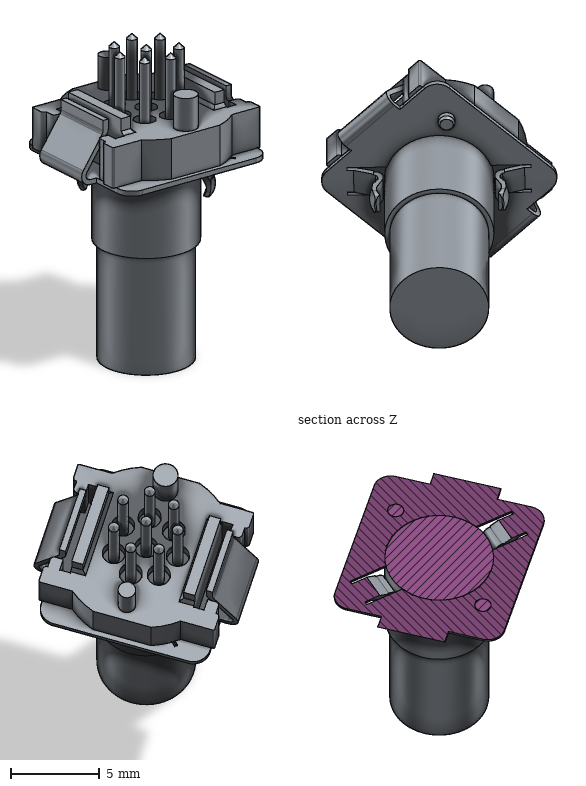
import cadquery as cq
import math

barrel_step_z = 7.25
plate_bottom_z = 12.5
sheet_thickness = 0.3
plate_top_z = plate_bottom_z + sheet_thickness
head_top_z = 15.28
ridge_top_z = 16.25
post_top_z = 17.29
pin_top_z = 19.1

barrel_radius = 3.1
barrel_end_radius = 2.8

head_circle_radius = 5.0
head_half_width = 4.7
ear_outer_x = 3.84
ear_inner_x = 2.79
ear_half_length = 5.21
head_half_length = 4.99
ear_edge_radius = 0.1
ear_inner_radius = 0.21
mouth_edge_radius = 0.23

pocket_half_width = 2.79
pocket_inner_y = 3.65
pocket_outer_y = 4.28
mouth_half_width = 2.1

ridge_half_width = 2.5
ridge_inner_y = 2.98
ridge_skirt = 0.21

pin_radius = 0.3
pin_ring_radius = 1.87
pin_ring_pairs = 3
pin_ring_step = 50.5
well_radius = 0.65
well_depth = 0.7
post_x = 3.75
small_post_radius = 0.5
large_post_radius = 0.7

stud_x = 3.32
stud_y = 2.62
stud_radius = 0.48
stud_bottom_z = 11.98
stud_chamfer_height = 0.2
stud_chamfer_width = 0.1

plate_half_side = 5.0
plate_corner_radius = 1.0

clip_half_width = 1.99
clip_reach = 6.05
clip_bend_radius = 2 * sheet_thickness
clip_lean = math.radians(35)
clip_lip_outer_y = 4.55
clip_top_z = 16.2
clip_kink_radius = 0.38

finger_direction = 45
finger_half_width = 0.7
finger_root_half_width = 0.76
finger_window_half_width = 0.95
finger_root = 5.21
finger_bend_outer = 4.85
finger_bend_inner = 4.8
finger_root_step = 3.72
slope_end_outer = (3.61, 12.05)
slope_end_inner = (3.67, 12.4)
knee_shoulder = (3.29, 12.22)
knee_inner = 3.17
knee_outer = knee_inner + sheet_thickness
knee_z = 11.85
knee_end_shift = 0.02
knee_end_z = 11.65
leg_end_inner = (3.48, 11.04)
leg_end_outer = 3.76
tip_outer = 3.8
tip_inner = 3.55
tip_end_outer = 3.57
tip_end_inner = (3.36, 10.3)
tip_bottom_z = 10.1
tip_corner_radius = 0.48

dome_top_z = 11.23
dome_middle_z = 10.75
dome_crown = 3.95
dome_side_radius = 1.53
dome_top_inset = 0.11
dome_bottom_inset = 0.29

edge_margin = 0.02


def cylinder(x, y, bottom_z, top_z, radius):
    return cq.Workplane("XY", origin=(x, y, bottom_z)).circle(radius).extrude(top_z - bottom_z)


def half_turn_pair(shape):
    """The shape and its copy turned half way around Z."""
    return [shape.rotate((0, 0, 0), (0, 0, 1), angle) for angle in (0, 180)]


def block(x_half_width, y_start, y_end, bottom_z, top_z):
    """A block centred on X, given by its Y and Z limits."""
    return cq.Workplane("XY").box(
        2 * x_half_width, y_end - y_start, top_z - bottom_z, centered=(True, False, False)
    ).translate((0, y_start, bottom_z))


def make_head():
    shoulder_y = math.sqrt(head_circle_radius**2 - ear_outer_x**2)
    head = cylinder(0, 0, plate_top_z, head_top_z, head_circle_radius)
    head = head.intersect(
        block(head_half_width, -shoulder_y, shoulder_y, plate_top_z, head_top_z)
    )
    head = head.union(
        block(ear_outer_x, -head_half_length, head_half_length, plate_top_z, head_top_z)
    )
    ear_width = ear_outer_x - ear_inner_x
    ears = (
        cq.Workplane("XY", origin=(0, 0, plate_top_z))
        .pushPoints([(side * (ear_outer_x + ear_inner_x) / 2, 0) for side in (-1, 1)])
        .rect(ear_width, 2 * ear_half_length)
        .extrude(head_top_z - plate_top_z)
    )
    head = head.union(ears)
    for opening in half_turn_pair(make_spring_opening()):
        head = head.cut(opening)
    head = head.edges(vertical_edges(ear_outer_x, ear_half_length)).fillet(ear_edge_radius)
    head = head.edges(vertical_edges(ear_inner_x, ear_half_length)).fillet(ear_inner_radius)
    return head.edges(vertical_edges(mouth_half_width, head_half_length)).fillet(mouth_edge_radius)


def vertical_edges(x, y):
    """Selector for the four vertical head edges at (+-x, +-y)."""
    boxes = [
        cq.selectors.BoxSelector(
            (sx * x - edge_margin, sy * y - edge_margin, plate_top_z),
            (sx * x + edge_margin, sy * y + edge_margin, head_top_z),
        )
        for sx in (-1, 1)
        for sy in (-1, 1)
    ]
    return boxes[0] + boxes[1] + boxes[2] + boxes[3]


def make_spring_opening():
    pocket = block(pocket_half_width, pocket_inner_y, pocket_outer_y, plate_top_z, head_top_z)
    mouth = block(mouth_half_width, pocket_inner_y, ear_half_length, plate_top_z, head_top_z)
    return pocket.union(mouth)


def make_ridge():
    ridge = block(ridge_half_width, ridge_inner_y, pocket_inner_y, head_top_z, ridge_top_z)
    depth = pocket_inner_y - ridge_inner_y + ridge_skirt
    skirt = (
        cq.Workplane("XY", origin=(0, pocket_inner_y, head_top_z))
        .rect(2 * (ridge_half_width + ridge_skirt), 2 * depth)
        .extrude(ridge_skirt, taper=45)
    )
    outside = block(
        ridge_half_width + ridge_skirt, pocket_inner_y, pocket_inner_y + depth, head_top_z, ridge_top_z
    )
    return ridge.union(skirt.cut(outside))


def pin_centers():
    """A central pin, one at -Y on the ring, and the rest in mirrored pairs stepping away from it."""
    centers = [(0, 0)]
    for i in range(-pin_ring_pairs, pin_ring_pairs + 1):
        angle = math.radians(i * pin_ring_step)
        centers.append((pin_ring_radius * math.sin(angle), -pin_ring_radius * math.cos(angle)))
    return centers


def make_pin(x, y):
    """A straight pin with a 45 degree point, rising from the floor of its well."""
    floor_z = head_top_z - well_depth
    shaft = cylinder(x, y, floor_z, pin_top_z - pin_radius, pin_radius)
    point = cq.Solid.makeCone(pin_radius, 0, pin_radius, cq.Vector(x, y, pin_top_z - pin_radius))
    return shaft.union(cq.Workplane(point))


def make_stud():
    stud = cylinder(stud_x, -stud_y, stud_bottom_z, plate_top_z, stud_radius)
    return stud.faces("<Z").chamfer(stud_chamfer_height, stud_chamfer_width)


def make_housing():
    housing = make_head()
    housing = housing.union(cylinder(0, 0, barrel_step_z, plate_top_z, barrel_radius))
    housing = housing.union(cylinder(0, 0, 0, barrel_step_z, barrel_end_radius))
    for feature in half_turn_pair(make_ridge()) + half_turn_pair(make_stud()):
        housing = housing.union(feature)
    housing = housing.union(cylinder(-post_x, 0, head_top_z, post_top_z, small_post_radius))
    housing = housing.union(cylinder(post_x, 0, head_top_z, post_top_z, large_post_radius))
    for x, y in pin_centers():
        housing = housing.cut(cylinder(x, y, head_top_z - well_depth, head_top_z, well_radius))
        housing = housing.union(make_pin(x, y))
    return housing


def make_plate():
    plate = block(plate_half_side, -plate_half_side, plate_half_side, plate_bottom_z, plate_top_z)
    plate = plate.edges("|Z").fillet(plate_corner_radius)
    plate = plate.cut(cylinder(0, 0, plate_bottom_z, plate_top_z, barrel_radius))
    for x, y in ((stud_x, -stud_y), (-stud_x, stud_y)):
        plate = plate.cut(cylinder(x, y, plate_bottom_z, plate_top_z, stud_radius))
    window = (
        cq.Workplane("XY", origin=(0, 0, plate_bottom_z))
        .rect(2 * finger_root, 2 * finger_window_half_width)
        .extrude(sheet_thickness)
        .rotate((0, 0, 0), (0, 0, 1), finger_direction)
    )
    return plate.cut(window)


def make_clip():
    """A strip leaving the +Y plate edge, bent up and back, ending in an upright lip."""
    bend_y = clip_reach - clip_bend_radius
    bend_z = plate_bottom_z + clip_bend_radius
    inner_radius = clip_bend_radius - sheet_thickness

    def on_bend(radius, angle):
        return (bend_y + radius * math.cos(angle), bend_z + radius * math.sin(angle))

    middle_angle = (clip_lean - math.pi / 2) / 2
    arm_start = on_bend(clip_bend_radius, clip_lean)
    kink_z = arm_start[1] + (arm_start[0] - clip_lip_outer_y) / math.tan(clip_lean)
    lip_inner_y = clip_lip_outer_y - sheet_thickness / math.cos(clip_lean)
    profile = (
        cq.Workplane("YZ")
        .moveTo(plate_half_side, plate_bottom_z)
        .lineTo(bend_y, plate_bottom_z)
        .threePointArc(on_bend(clip_bend_radius, middle_angle), arm_start)
        .lineTo(clip_lip_outer_y, kink_z)
        .lineTo(clip_lip_outer_y, clip_top_z)
        .lineTo(lip_inner_y, clip_top_z)
        .lineTo(lip_inner_y, kink_z)
        .lineTo(*on_bend(inner_radius, clip_lean))
        .threePointArc(on_bend(inner_radius, middle_angle), (bend_y, plate_top_z))
        .lineTo(plate_half_side, plate_top_z)
        .close()
    )
    clip = profile.extrude(clip_half_width, both=True)
    kink = cq.selectors.BoxSelector(
        (-clip_half_width, lip_inner_y - edge_margin, kink_z - edge_margin),
        (clip_half_width, clip_lip_outer_y + edge_margin, kink_z + edge_margin),
    )
    return clip.edges(kink).fillet(clip_kink_radius)


def make_finger_sheet():
    """Side profile of the tongue along +X: down from the plate, round a knee, then outward to the tip."""
    profile = (
        cq.Workplane("XZ")
        .moveTo(finger_root, plate_bottom_z)
        .lineTo(finger_bend_outer, plate_bottom_z)
        .lineTo(*slope_end_outer)
        .threePointArc((knee_outer, knee_z), (knee_outer + knee_end_shift, knee_end_z))
        .lineTo(leg_end_outer, dome_top_z)
        .threePointArc((tip_outer, dome_middle_z), (tip_end_outer, tip_bottom_z))
        .lineTo(*tip_end_inner)
        .threePointArc((tip_inner, dome_middle_z), leg_end_inner)
        .lineTo(knee_inner + knee_end_shift, knee_end_z)
        .lineTo(knee_inner, knee_z)
        .threePointArc(knee_shoulder, slope_end_inner)
        .lineTo(finger_bend_inner, plate_top_z)
        .lineTo(finger_root, plate_top_z)
        .close()
    )
    return profile.extrude(finger_root_half_width, both=True)


def make_finger_dome():
    """Outward bulge on the tip, turned about an upright axis so that it also curves sideways."""
    bulge = (
        cq.Workplane("XZ", origin=(dome_crown - dome_side_radius, 0, 0))
        .moveTo(0, dome_top_z)
        .lineTo(dome_top_inset - dome_side_radius, dome_top_z)
        .threePointArc(
            (-dome_side_radius, dome_middle_z), (dome_bottom_inset - dome_side_radius, tip_bottom_z)
        )
        .lineTo(0, tip_bottom_z)
        .close()
        .revolve(360, (0, 0, 0), (0, 1, 0))
    )
    outer_side = front_block(tip_end_outer, finger_root, finger_half_width, tip_bottom_z, dome_top_z)
    return bulge.intersect(outer_side)


def front_block(x_start, x_end, y_half_width, bottom_z, top_z):
    """A block centred on Y, given by its X and Z limits."""
    return block((x_end - x_start) / 2, -y_half_width, y_half_width, bottom_z, top_z).translate(
        ((x_start + x_end) / 2, 0, 0)
    )


def make_finger():
    """The folded sheet with its dome, trimmed to a wide root and a narrower strip with a round end."""
    strip = front_block(0, finger_root, finger_half_width, tip_bottom_z, plate_top_z)
    strip = strip.edges("|X and <Z").fillet(tip_corner_radius)
    root = front_block(finger_root_step, finger_root, finger_root_half_width, knee_z, plate_top_z)
    finger = make_finger_sheet().union(make_finger_dome()).intersect(strip.union(root))
    return finger.rotate((0, 0, 0), (0, 0, 1), finger_direction)


def make_shield():
    shield = make_plate()
    for feature in half_turn_pair(make_clip()) + half_turn_pair(make_finger()):
        shield = shield.union(feature)
    return shield


housing = make_housing()
shield = make_shield()
result = cq.Compound.makeCompound([housing.solids().val(), shield.solids().val()])